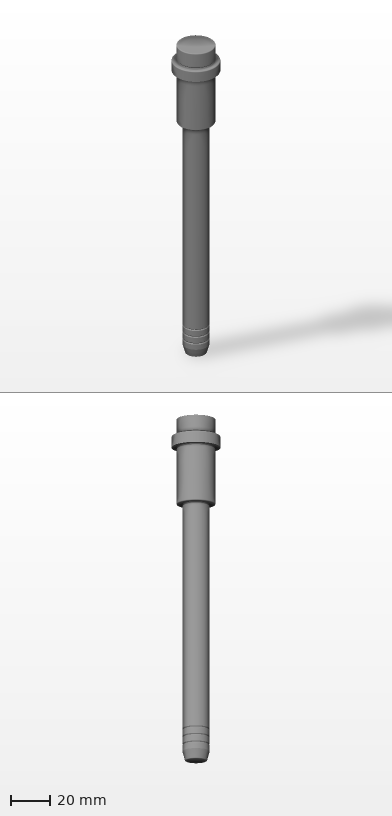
import cadquery as cq

total_length = 180.0

shaft_radius = 7.0
sleeve_radius = 10.0
collar_radius = 12.5

collar_top = total_length - 9.0
collar_bottom = collar_top - 6.0
sleeve_bottom = collar_bottom - 30.0

head_fillet = 0.5
collar_fillet = 0.5
sleeve_fillet = 0.5

groove_width = 1.0
groove_depth = 0.4
oil_groove_count = 3
oil_groove_pitch = 4.0
lowest_oil_groove = 8.5

tip_length = 5.0
tip_radius = 5.6
tip_fillet = 0.5


def cylinder(radius, bottom, top):
    """Solid cylinder on the pin axis between two levels."""
    return cq.Workplane("XY").workplane(offset=bottom).circle(radius).extrude(top - bottom)


def groove_cutter(surface_radius, level):
    """Ring of diamond section that cuts a V groove centred on a level."""
    half_width = groove_width / 2
    diamond = [
        (surface_radius - groove_depth, level),
        (surface_radius, level - half_width),
        (surface_radius + groove_depth, level),
        (surface_radius, level + half_width),
    ]
    return cq.Workplane("XZ").polyline(diamond).close().revolve(360, (0, 0, 0), (0, 1, 0))


def make_shaft():
    """Long shaft with a conical tip, rounded end and oil grooves."""
    tip = (
        cq.Workplane("XZ")
        .polyline([(0, 0), (tip_radius, 0), (shaft_radius, tip_length), (0, tip_length)])
        .close()
        .revolve(360, (0, 0, 0), (0, 1, 0))
        .faces("<Z")
        .edges()
        .fillet(tip_fillet)
    )
    shaft = tip.union(cylinder(shaft_radius, tip_length, sleeve_bottom))
    for index in range(oil_groove_count):
        level = lowest_oil_groove + index * oil_groove_pitch
        shaft = shaft.cut(groove_cutter(shaft_radius, level))
    return shaft.cut(groove_cutter(shaft_radius, sleeve_bottom - groove_width / 2))


def make_sleeve():
    """Thick sleeve below the collar, relieved just under it."""
    sleeve = cylinder(sleeve_radius, sleeve_bottom, collar_bottom)
    sleeve = sleeve.faces("<Z").edges().fillet(sleeve_fillet)
    return sleeve.cut(groove_cutter(sleeve_radius, collar_bottom - groove_width / 2))


def make_collar():
    """Collar with a rounded top edge and a sharp bottom edge."""
    return cylinder(collar_radius, collar_bottom, collar_top).faces(">Z").edges().fillet(collar_fillet)


def make_head():
    """Head above the collar, relieved where it meets the collar."""
    head = cylinder(sleeve_radius, collar_top, total_length).faces(">Z").edges().fillet(head_fillet)
    return head.cut(groove_cutter(sleeve_radius, collar_top + groove_width / 2))


result = make_shaft().union(make_sleeve()).union(make_collar()).union(make_head())